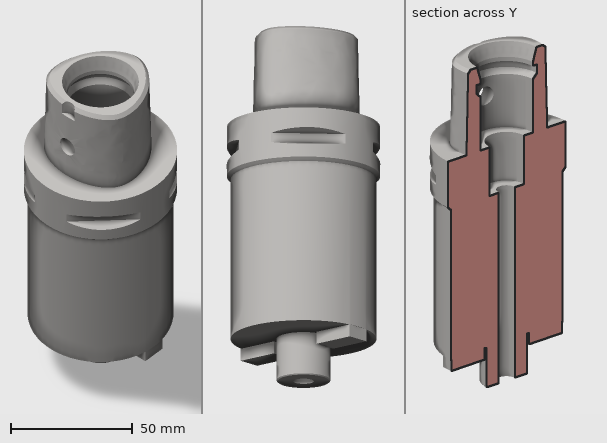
import cadquery as cq
import math

TOTAL_HEIGHT = 146.0
SHANK_BASE = 108.0
FLANGE_BASE = 85.7
BODY_BASE = 18.0
KEY_BASE = 12.8

FLANGE_RADIUS = 31.5
FLANGE_CHAMFER = 1.5
BODY_RADIUS = 60.0 / 2
SPIGOT_RADIUS = 11.1
SPIGOT_CHAMFER = 0.5

KEY_WIDTH = 10.4
KEY_INNER = 11.7
KEY_OUTER = 29.6

SHANK_BASE_RADIUS = 44.2 / 2
SHANK_TAPER = 1 / 20
LOBE_OFFSET = 1.4
OUTLINE_POINTS = 48
SHANK_CHAMFER = 1.5

GRIP_LEVEL = 96.0
GRIP_FLOOR_HEIGHT = 4.0
GRIP_MOUTH_HEIGHT = 7.3
GRIP_FLOOR_DISTANCE = 27.6
GRIP_ANGLES = (45, 135, 225, 315)

BORE_RADIUS = 13.9
BORE_MOUTH_RADIUS = 15.8
MOUTH_DEPTH = 6.3
LIP_DEPTH = 8.2
GROOVE_RADIUS = 16.0
GROOVE_DEPTH = 11.8
BORE_DEPTH = 38.0
STEP_RADIUS = 9.0
STEP_DEPTH = 59.9
COOLANT_RADIUS = 4.2

SIDE_HOLE_RADIUS = 4.1
SIDE_HOLE_LEVEL = 123.5
NOTCH_RADIUS = 4.1
NOTCH_DEPTH = 6.4
NOTCH_AXIS_DISTANCE = 21.8


def trilobe(radius, level):
    """Closed three-lobed outline with one lobe pointing along +Y."""

    def point(t):
        angle = 2 * math.pi * t
        along_lobe = (
            radius * math.cos(angle)
            + 2 * LOBE_OFFSET * math.cos(2 * angle)
            - LOBE_OFFSET * math.cos(4 * angle)
        )
        across_lobe = (
            radius * math.sin(angle)
            - 2 * LOBE_OFFSET * math.sin(2 * angle)
            - LOBE_OFFSET * math.sin(4 * angle)
        )
        return (-across_lobe, along_lobe)

    points = [point(i / OUTLINE_POINTS) for i in range(OUTLINE_POINTS)]
    return cq.Workplane("XY", origin=(0, 0, level)).spline(points, periodic=True).wire().val()


def shank():
    chamfer_level = TOTAL_HEIGHT - SHANK_CHAMFER
    neck_radius = SHANK_BASE_RADIUS - SHANK_TAPER / 2 * (chamfer_level - SHANK_BASE)
    base = trilobe(SHANK_BASE_RADIUS, SHANK_BASE)
    neck = trilobe(neck_radius, chamfer_level)
    top = trilobe(neck_radius - SHANK_CHAMFER, TOTAL_HEIGHT)
    taper = cq.Solid.makeLoft([base, neck], True)
    edge = cq.Solid.makeLoft([neck, top], True)
    return cq.Workplane(taper).union(cq.Workplane(edge))


def turned_body():
    profile = [
        (0, 0),
        (SPIGOT_RADIUS - SPIGOT_CHAMFER, 0),
        (SPIGOT_RADIUS, SPIGOT_CHAMFER),
        (SPIGOT_RADIUS, BODY_BASE),
        (BODY_RADIUS, BODY_BASE),
        (BODY_RADIUS, FLANGE_BASE),
        (FLANGE_RADIUS, FLANGE_BASE + FLANGE_CHAMFER),
        (FLANGE_RADIUS, SHANK_BASE),
        (0, SHANK_BASE),
    ]
    return cq.Workplane("XZ").polyline(profile).close().revolve(360, (0, 0), (0, 1))


def drive_key(side):
    return (
        cq.Workplane("XY", origin=(side * (KEY_INNER + KEY_OUTER) / 2, 0, KEY_BASE))
        .rect(KEY_OUTER - KEY_INNER, KEY_WIDTH)
        .extrude(BODY_BASE - KEY_BASE)
    )


def grip_groove(angle):
    """Straight trapezoidal groove, flaring from its flat floor to the flange surface."""
    half_floor = GRIP_FLOOR_HEIGHT / 2
    half_mouth = GRIP_MOUTH_HEIGHT / 2
    section = [
        (GRIP_FLOOR_DISTANCE, GRIP_LEVEL - half_floor),
        (FLANGE_RADIUS, GRIP_LEVEL - half_mouth),
        (FLANGE_RADIUS, GRIP_LEVEL + half_mouth),
        (GRIP_FLOOR_DISTANCE, GRIP_LEVEL + half_floor),
    ]
    groove = cq.Workplane("XZ").polyline(section).close().extrude(FLANGE_RADIUS, both=True)
    return groove.rotate((0, 0, 0), (0, 0, 1), angle)


def bore():
    cone_end = GROOVE_DEPTH + GROOVE_RADIUS - BORE_RADIUS
    radius_and_depth = [
        (0, 0),
        (BORE_MOUTH_RADIUS, 0),
        (BORE_RADIUS, MOUTH_DEPTH),
        (BORE_RADIUS, LIP_DEPTH),
        (GROOVE_RADIUS, LIP_DEPTH),
        (GROOVE_RADIUS, GROOVE_DEPTH),
        (BORE_RADIUS, cone_end),
        (BORE_RADIUS, BORE_DEPTH),
        (STEP_RADIUS, BORE_DEPTH),
        (STEP_RADIUS, STEP_DEPTH),
        (COOLANT_RADIUS, STEP_DEPTH),
        (COOLANT_RADIUS, TOTAL_HEIGHT),
        (0, TOTAL_HEIGHT),
    ]
    profile = [(radius, TOTAL_HEIGHT - depth) for radius, depth in radius_and_depth]
    return cq.Workplane("XZ").polyline(profile).close().revolve(360, (0, 0), (0, 1))


def side_hole():
    """Radial hole through the -Y wall of the shank into the bore."""
    return (
        cq.Workplane("XZ", origin=(0, 0, SIDE_HOLE_LEVEL))
        .circle(SIDE_HOLE_RADIUS)
        .extrude(FLANGE_RADIUS)
    )


def locating_notch():
    """Round-backed notch in the top rim, its axis parallel to Z."""
    return (
        cq.Workplane("XY", origin=(0, -NOTCH_AXIS_DISTANCE, TOTAL_HEIGHT - NOTCH_DEPTH))
        .circle(NOTCH_RADIUS)
        .extrude(NOTCH_DEPTH)
    )


result = turned_body().union(shank())
for side in (-1, 1):
    result = result.union(drive_key(side))
for angle in GRIP_ANGLES:
    result = result.cut(grip_groove(angle))
result = result.cut(bore()).cut(side_hole()).cut(locating_notch())